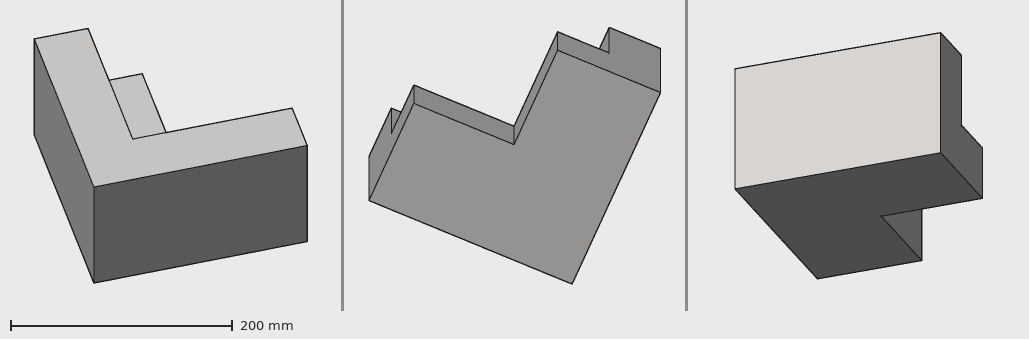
import cadquery as cq

length_x = 200.0
length_y = 200.1
height = 120.7

wall_thickness = 50.6
ledge_width = 50.8
ledge_height = 50.6
base_width = wall_thickness + ledge_width


def corner_prism(leg_width, prism_height):
    """L-shaped prism whose outer corner is at (length_x, 0)."""
    inner_x = length_x - leg_width
    return (
        cq.Workplane("XY")
        .moveTo(0, 0)
        .lineTo(length_x, 0)
        .lineTo(length_x, length_y)
        .lineTo(inner_x, length_y)
        .lineTo(inner_x, leg_width)
        .lineTo(0, leg_width)
        .close()
        .extrude(prism_height)
    )


base = corner_prism(base_width, ledge_height)
wall = corner_prism(wall_thickness, height)
result = base.union(wall)